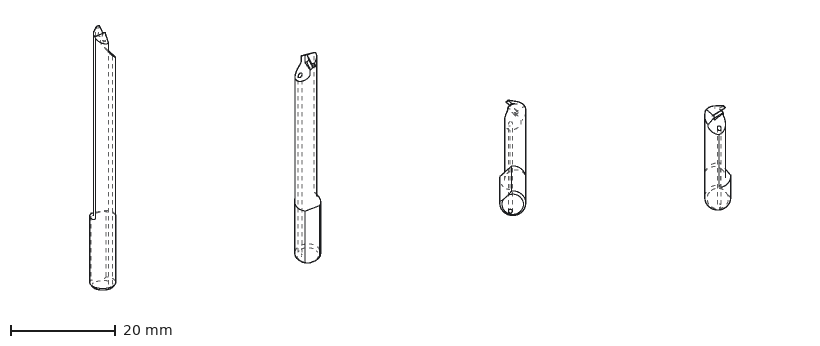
import cadquery as cq
import math


shank_radius = 2.5
shank_length = 14.9
flat_x = -1.95
chamfer_width = 0.45
chamfer_height = 0.6

total_length = 55.0
neck_radius = 2.15
neck_center_x = 0.85
shoulder_fillet = 0.6

coolant_diameter = 0.75
coolant_x = 0.7
coolant_y = 1.28

head_face_y = 0.14
scoop_radius = 1.5
scoop_turn = math.radians(45)
scoop_arc_end_y = head_face_y + scoop_radius * (1 - math.cos(scoop_turn))
scoop_arc_end_z = 50.7

tip_x = -1.85
tip_y = 0.1
tip_land_height = 0.5
tooth_height = 1.85
tooth_foot_x = neck_center_x - neck_radius
tooth_tangent_angle = math.radians(50)

end_slope = 0.085
end_bevel_x = 0.88
end_side_drop = 0.17
end_side_shift = 0.08

rake_end_x = 0.9
rake_plan_angle = 7.5
rake_depth = 0.42
rake_floor_height = 1.8
rake_exit_height = 0.4

clearance = 2 * shank_radius


def make_bar():
    """Round bar with a chamfered foot and a flat on the -X side."""
    foot_radius = shank_radius - chamfer_width
    outline = [
        (0, 0),
        (foot_radius, 0),
        (shank_radius, chamfer_height),
        (shank_radius, total_length),
        (0, total_length),
    ]
    bar = cq.Workplane("XZ").polyline(outline).close().revolve(360, (0, 0), (0, 1))
    flat_side = cq.Workplane("XY").box(
        clearance, 2 * clearance, total_length, centered=(False, True, False)
    )
    return bar.cut(flat_side.translate((flat_x - clearance, 0, 0)))


def make_neck_waste():
    """Material around the neck, with a fillet running out onto the shoulder."""
    outer = neck_radius + clearance
    fillet_top = shank_length + shoulder_fillet
    fillet_offset = shoulder_fillet * (1 - math.sqrt(0.5))
    waste = (
        cq.Workplane("XZ")
        .moveTo(outer, shank_length)
        .lineTo(neck_radius + shoulder_fillet, shank_length)
        .threePointArc(
            (neck_radius + fillet_offset, shank_length + fillet_offset),
            (neck_radius, fillet_top),
        )
        .lineTo(neck_radius, total_length)
        .lineTo(outer, total_length)
        .close()
        .revolve(360, (0, 0), (0, 1))
    )
    return waste.translate((neck_center_x, 0, 0))


def make_tooth():
    """Pointed block with a side tangent to the neck and a clearance face below the tip."""
    foot_z = total_length - tooth_height
    side_end_x = neck_center_x - neck_radius * math.cos(tooth_tangent_angle)
    side_end_y = -neck_radius * math.sin(tooth_tangent_angle)
    land_end_y = side_end_y + (side_end_x - tip_x) / math.tan(tooth_tangent_angle)
    plan = [
        (tip_x, head_face_y),
        (tip_x, land_end_y),
        (side_end_x, side_end_y),
        (neck_center_x, side_end_y),
        (neck_center_x, head_face_y),
    ]
    side = [
        (tip_x, total_length),
        (tip_x, total_length - tip_land_height),
        (tooth_foot_x, foot_z),
        (neck_center_x, foot_z),
        (neck_center_x, total_length),
    ]
    plan_body = (
        cq.Workplane("XY").workplane(offset=foot_z).polyline(plan).close().extrude(tooth_height)
    )
    side_body = cq.Workplane("XZ").polyline(side).close().extrude(clearance, both=True)
    return plan_body.intersect(side_body)


def make_scoop():
    """Waste on the +Y half of the head: flat, arc, then a slanted run-out."""
    arc_start_z = scoop_arc_end_z + scoop_radius * math.sin(scoop_turn)
    mid_angle = scoop_turn / 2
    arc_mid = (
        head_face_y + scoop_radius * (1 - math.cos(mid_angle)),
        arc_start_z - scoop_radius * math.sin(mid_angle),
    )
    return (
        cq.Workplane("YZ")
        .moveTo(head_face_y, total_length + clearance)
        .lineTo(head_face_y, arc_start_z)
        .threePointArc(arc_mid, (scoop_arc_end_y, scoop_arc_end_z))
        .lineTo(scoop_arc_end_y + clearance, scoop_arc_end_z - clearance / math.tan(scoop_turn))
        .lineTo(scoop_arc_end_y + clearance, total_length + clearance)
        .close()
        .extrude(clearance, both=True)
    )


def make_end_waste():
    """Waste above the gently sloping end face and its 45 degree bevel at +X."""
    bevel_z = total_length - end_slope * (end_bevel_x - tip_x)

    def section(distance):
        """Outline at a distance from the tip towards -Y."""
        shift = end_side_shift * distance
        drop = end_side_drop * distance
        points = [
            (tip_x - clearance, total_length + end_slope * clearance),
            (end_bevel_x, bevel_z),
            (end_bevel_x + clearance, bevel_z - clearance),
            (end_bevel_x + clearance, total_length + clearance),
            (tip_x - clearance, total_length + clearance),
        ]
        y = tip_y - distance
        vertices = [cq.Vector(x + shift, y, z - drop) for x, z in points]
        return cq.Wire.makePolygon(vertices, close=True)

    waste = cq.Solid.makeLoft([section(-clearance), section(clearance)], True)
    return cq.Workplane(obj=waste)


def make_rake_pocket():
    """Chip pocket whose floor sinks away from the tip, downwards and towards +X."""
    floor_z = total_length - rake_floor_height
    floor_slope = rake_depth / rake_floor_height
    outline = [
        (tip_y + floor_slope * clearance, total_length + clearance),
        (tip_y - rake_depth, floor_z),
        (head_face_y, floor_z - rake_exit_height),
        (clearance, floor_z - rake_exit_height),
        (clearance, total_length + clearance),
    ]
    pocket = (
        cq.Workplane("YZ")
        .workplane(offset=tip_x - clearance)
        .polyline(outline)
        .close()
        .extrude(rake_end_x - tip_x + clearance)
    )
    return pocket.rotate((tip_x, tip_y, 0), (tip_x, tip_y, 1), -rake_plan_angle)


def make_coolant_hole():
    """Round passage from the foot to the scoop."""
    return (
        cq.Workplane("XY")
        .center(coolant_x, coolant_y)
        .circle(coolant_diameter / 2)
        .extrude(total_length)
    )


result = (
    make_bar()
    .cut(make_neck_waste())
    .union(make_tooth())
    .cut(make_scoop())
    .cut(make_end_waste())
    .cut(make_rake_pocket())
    .cut(make_coolant_hole())
)